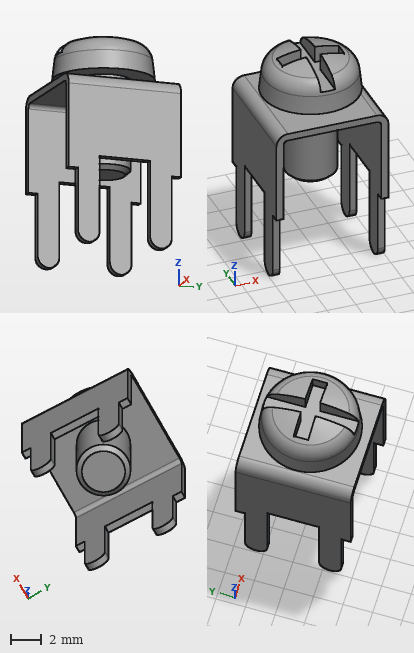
import cadquery as cq
import math

BRACKET_SIZE = 7.8
BRACKET_TOP = 11.3
SHEET = 0.5
BEND_RADIUS = 0.8
SHOULDER_HEIGHT = 4.89
NOTCH_HEIGHT = 5.8
NOTCH_WIDTH = 3.5
LEG_WIDTH = 1.5

TOTAL_HEIGHT = 14.6
SHANK_DIAMETER = 3.5
SHANK_BOTTOM = 5.6
TIP_DIAMETER = 2.8
TIP_HEIGHT = 0.3
HEAD_BOTTOM = 11.91
HEAD_DIAMETER = 6.69
TAPER_TOP = 13.2
TAPER_TOP_DIAMETER = 6.4
DOME_BOTTOM = 14.19
DOME_DIAMETER = 5.0
SLOT_WIDTH = 1.0
SLOT_FLOOR = 13.43
SHORT_SLOT_LENGTH = 4.3


def make_bracket():
    """Bent sheet with two legs on each side wall and a hole for the screw."""
    inner_width = BRACKET_SIZE - 2 * SHEET
    outer = (
        cq.Workplane("XY")
        .box(BRACKET_SIZE, BRACKET_SIZE, BRACKET_TOP, centered=(True, True, False))
        .edges("|Y and >Z")
        .fillet(BEND_RADIUS)
    )
    inner = (
        cq.Workplane("XY")
        .box(inner_width, BRACKET_SIZE, BRACKET_TOP - SHEET, centered=(True, True, False))
        .edges("|Y and >Z")
        .fillet(BEND_RADIUS - SHEET)
    )
    channel = outer.cut(inner)

    half_size = BRACKET_SIZE / 2
    leg_inner = NOTCH_WIDTH / 2
    leg_outer = leg_inner + LEG_WIDTH
    leg_middle = leg_inner + LEG_WIDTH / 2
    round_top = LEG_WIDTH / 2
    side_outline = (
        cq.Workplane("YZ")
        .moveTo(-half_size, BRACKET_TOP)
        .lineTo(-half_size, SHOULDER_HEIGHT)
        .lineTo(-leg_outer, SHOULDER_HEIGHT)
        .lineTo(-leg_outer, round_top)
        .threePointArc((-leg_middle, 0), (-leg_inner, round_top))
        .lineTo(-leg_inner, NOTCH_HEIGHT)
        .lineTo(leg_inner, NOTCH_HEIGHT)
        .lineTo(leg_inner, round_top)
        .threePointArc((leg_middle, 0), (leg_outer, round_top))
        .lineTo(leg_outer, SHOULDER_HEIGHT)
        .lineTo(half_size, SHOULDER_HEIGHT)
        .lineTo(half_size, BRACKET_TOP)
        .close()
        .extrude(half_size, both=True)
    )
    screw_hole = cq.Workplane("XY").circle(SHANK_DIAMETER / 2).extrude(BRACKET_TOP)
    return channel.intersect(side_outline).cut(screw_hole)


def make_screw_blank():
    """Screw without its slots, turned about Z."""
    corner_radius = SLOT_WIDTH / math.sqrt(2)
    rim_radius = DOME_DIAMETER / 2
    rise = TOTAL_HEIGHT - DOME_BOTTOM
    depth_to_center = (rim_radius**2 - corner_radius**2 - rise**2) / (2 * rise)
    sphere_radius = math.hypot(rim_radius, depth_to_center)
    apex = DOME_BOTTOM - depth_to_center + sphere_radius

    return (
        cq.Workplane("XZ")
        .moveTo(0, SHANK_BOTTOM)
        .lineTo(TIP_DIAMETER / 2, SHANK_BOTTOM)
        .lineTo(SHANK_DIAMETER / 2, SHANK_BOTTOM + TIP_HEIGHT)
        .lineTo(SHANK_DIAMETER / 2, HEAD_BOTTOM)
        .lineTo(HEAD_DIAMETER / 2, HEAD_BOTTOM)
        .lineTo(TAPER_TOP_DIAMETER / 2, TAPER_TOP)
        .tangentArcPoint((rim_radius, DOME_BOTTOM), relative=False)
        .threePointArc((corner_radius, TOTAL_HEIGHT), (0, apex))
        .close()
        .revolve(360, (0, 0), (0, 1))
    )


def make_slots():
    """Long slot running through the head along Y, crossed by a shorter closed slot along X."""
    slot_height = TOTAL_HEIGHT
    floor = cq.Workplane("XY").workplane(offset=SLOT_FLOOR)
    long_slot = floor.rect(SLOT_WIDTH, HEAD_DIAMETER).extrude(slot_height)
    short_slot = floor.rect(SHORT_SLOT_LENGTH, SLOT_WIDTH).extrude(slot_height)
    return long_slot.union(short_slot)


bracket = make_bracket()
screw = make_screw_blank().cut(make_slots())

result = cq.Compound.makeCompound([bracket.solids().val(), screw.solids().val()])